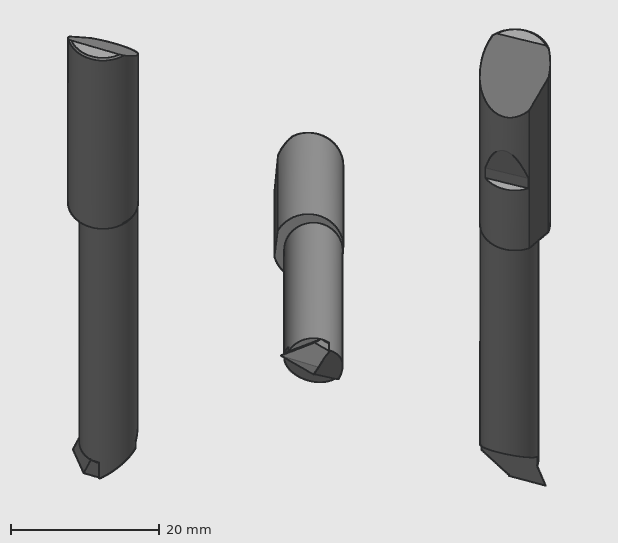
import cadquery as cq
import math

length = 88.9
shank_diameter = 9.5
neck_diameter = 7.9
shoulder_height = 53.5
rim_chamfer = 0.3
shank_radius = shank_diameter / 2
neck_radius = neck_diameter / 2
neck_x = shank_radius - neck_radius
margin = 8.9

end_bevel_y = -2.85

flat_start_y = 0.1
flat_end_y = 3.6

notch_floor_y = 3.65
notch_bottom = 66.1
notch_floor_top = 68.3
notch_top = 74.2

runout_bottom = 5.6

corner_bevel_height = 4.3

tooth_height = 3.7
tooth_tip_x = -4.4
tooth_root_x = neck_x - neck_radius
tooth_end_x = 0.9
tooth_depth = 3.8
flank_run_x = 2.85
end_relief_angle = 8.0
end_dish = 0.2


def prism_along_x(points):
    """Prism of a (y, z) outline through the whole part."""
    return cq.Workplane("YZ").polyline(points).close().extrude(margin, both=True)


def make_shank():
    shank = cq.Workplane("XY").workplane(offset=shoulder_height).circle(shank_radius)
    shank = shank.extrude(length - shoulder_height).faces(">Z").edges().chamfer(rim_chamfer)

    bevel_drop = shank_radius + margin - end_bevel_y
    end_bevel = prism_along_x([
        (end_bevel_y, length),
        (end_bevel_y + bevel_drop, length - bevel_drop),
        (end_bevel_y + bevel_drop, length),
    ])

    flat_start_x = -math.sqrt(shank_radius**2 - flat_start_y**2)
    flat_end_x = -math.sqrt(shank_radius**2 - flat_end_y**2)
    side_flat = (
        cq.Workplane("XY").workplane(offset=shoulder_height)
        .polyline([
            (flat_start_x, flat_start_y),
            (flat_end_x, flat_end_y),
            (flat_end_x - margin, flat_end_y),
            (flat_start_x - margin, flat_start_y),
        ])
        .close().extrude(length - shoulder_height)
    )

    notch = prism_along_x([
        (notch_floor_y, notch_bottom),
        (notch_floor_y, notch_floor_top),
        (shank_radius, notch_top),
        (shank_radius + margin, notch_top),
        (shank_radius + margin, notch_bottom),
    ])
    return shank.cut(end_bevel).cut(side_flat).cut(notch)


def make_neck():
    """Neck with its lower left corner emptied to receive the tooth."""
    neck = cq.Workplane("XY").center(neck_x, 0).circle(neck_radius).extrude(shoulder_height)
    rake = prism_along_x([
        (0, -margin),
        (0, runout_bottom),
        (margin, runout_bottom + margin),
        (margin, -margin),
    ])
    corner_bevel = (
        cq.Workplane("XZ")
        .polyline([
            (shank_radius, corner_bevel_height),
            (shank_radius - margin, corner_bevel_height - margin),
            (shank_radius, corner_bevel_height - margin),
        ])
        .close().extrude(margin, both=True)
    )
    tooth_seat = cq.Workplane("XY").box(
        tooth_end_x + margin, 2 * margin, tooth_height, centered=(False, True, False)
    ).translate((-margin, 0, 0))
    return neck.cut(rake).cut(corner_bevel).cut(tooth_seat)


def make_tooth():
    """Tooth leaning to -X, its flank relieved toward the back."""
    outline = [
        (tooth_tip_x, 0),
        (tooth_root_x, tooth_height),
        (tooth_end_x, tooth_height),
        (tooth_end_x, end_dish),
    ]
    back_outline = [(x + flank_run_x, z) for x, z in outline[:2]] + outline[2:]
    return (
        cq.Workplane("XZ").polyline(outline).close()
        .workplane(offset=tooth_depth).polyline(back_outline).close()
        .loft(ruled=True)
    )


def make_end_relief():
    """Wedge under the tip, rising toward -Y."""
    rise = margin * math.tan(math.radians(end_relief_angle))
    return prism_along_x([(0, 0), (-margin, rise), (-margin, 0)])


result = make_shank().union(make_neck()).union(make_tooth()).cut(make_end_relief())